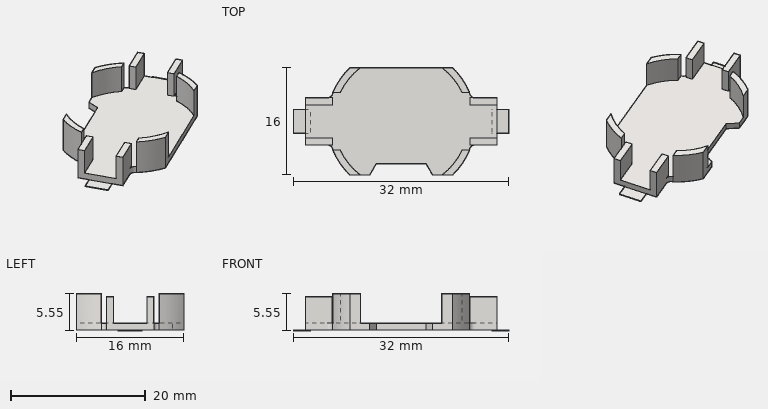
import cadquery as cq
import math


total_length = 32.0
tray_width = 16.0
total_height = 5.55

floor_thickness = 1.05
clip_outer_radius = 11.05

channel_length = 28.48
channel_width = 7.05
wall_thickness = 1.05
wall_length = 4.03
wall_height = 5.0

clip_thickness = 1.02
clip_inner_radius = clip_outer_radius - clip_thickness
clip_gap = 8.58
clip_edge_x = math.sqrt(clip_outer_radius**2 - (clip_gap / 2) ** 2)

corner_radius = (clip_gap - channel_width) / 2

tab_thickness = 0.13
tab_length = 2.53
tab_width = 3.6
clip_height = total_height - tab_thickness

notch_depth = 1.7
notch_mouth_width = 9.35
notch_angle = 60.0


def box(length, width, height, x=0.0, y=0.0, z=0.0):
    """Box centred on (x, y) with its underside at z."""
    return cq.Workplane("XY").box(length, width, height, centered=(True, True, False)).translate((x, y, z))


def make_tray():
    """Disc cut to the tray width, joined to the channel floor by rounded corners."""
    disc = cq.Workplane("XY").circle(clip_outer_radius).extrude(floor_thickness)
    disc = disc.intersect(box(total_length, tray_width, floor_thickness))
    corner_x = clip_edge_x + corner_radius
    tray = disc.union(box(2 * corner_x, clip_gap, floor_thickness))
    corner_centres = [(x, y) for x in (-corner_x, corner_x) for y in (-clip_gap / 2, clip_gap / 2)]
    rounds = cq.Workplane("XY").pushPoints(corner_centres).circle(corner_radius).extrude(floor_thickness)
    return tray.cut(rounds).union(box(channel_length, channel_width, floor_thickness))


def make_notch():
    """Trapezoid that narrows from the front edge into the tray."""
    mouth_half = notch_mouth_width / 2
    root_half = mouth_half - notch_depth / math.tan(math.radians(notch_angle))
    front_y = -tray_width / 2
    root_y = front_y + notch_depth
    outline = [(-mouth_half, front_y), (mouth_half, front_y), (root_half, root_y), (-root_half, root_y)]
    return cq.Workplane("XY").polyline(outline).close().extrude(floor_thickness)


def make_clips():
    """Four ring pieces, left between the tray sides and the central gap."""
    ring = cq.Workplane("XY").circle(clip_outer_radius).circle(clip_inner_radius).extrude(clip_height)
    ring = ring.intersect(box(total_length, tray_width, clip_height))
    return ring.cut(box(total_length, clip_gap, clip_height))


result = make_tray().cut(make_notch()).union(make_clips())

wall_x = (channel_length - wall_length) / 2
wall_y = (channel_width - wall_thickness) / 2
tab_x = (total_length - tab_length) / 2
for end in (-1, 1):
    for side in (-1, 1):
        result = result.union(box(wall_length, wall_thickness, wall_height, end * wall_x, side * wall_y))
    result = result.union(box(tab_length, tab_width, tab_thickness, end * tab_x, z=-tab_thickness))